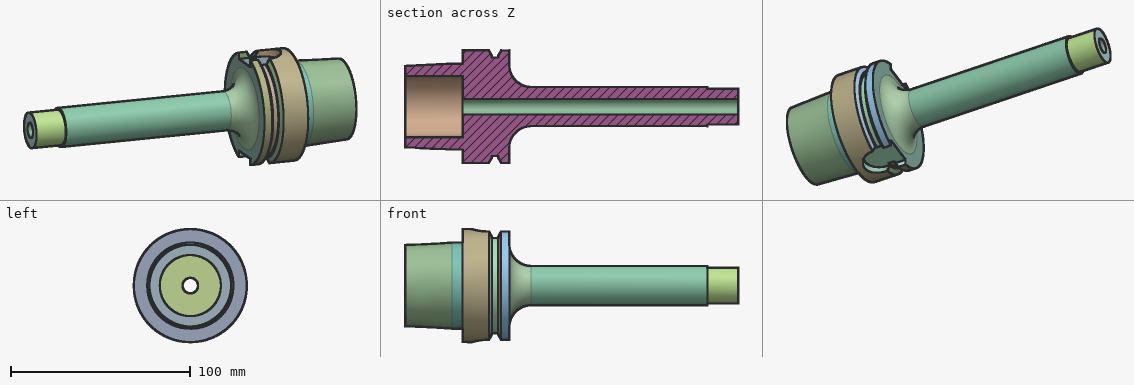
import cadquery as cq
import math

total_length = 185.3
taper_length = 26.0
flange_start = 32.0
flange_end = 58.0
tip_start = 168.0

taper_small_diameter = 45.4
taper_large_diameter = 48.0
flange_diameter = 63.0
shank_diameter = 22.0
tip_diameter = 20.0

blend_radius = 12.0

groove_centre = 50.0
groove_floor_diameter = 55.0
groove_floor_width = 3.4
groove_wall_angle = 30.0
groove_mouth_width = 6.8

slot_width = 18.0
slot_end = 37.0
slot_floor_height = 26.5

bore_diameter = 34.0
bore_depth = flange_start
coolant_diameter = 8.5


def body():
    """Revolve the outer profile around X."""
    shank_radius = shank_diameter / 2
    blend_end = flange_end + blend_radius
    blend_mid_offset = blend_radius * (1 - math.sqrt(0.5))
    profile = (
        cq.Workplane("XY")
        .lineTo(0, taper_small_diameter / 2)
        .lineTo(taper_length, taper_large_diameter / 2)
        .lineTo(flange_start, taper_large_diameter / 2)
        .lineTo(flange_start, flange_diameter / 2)
        .lineTo(flange_end, flange_diameter / 2)
        .lineTo(flange_end, shank_radius + blend_radius)
        .threePointArc(
            (flange_end + blend_mid_offset, shank_radius + blend_mid_offset),
            (blend_end, shank_radius),
        )
        .lineTo(tip_start, shank_radius)
        .lineTo(tip_start, tip_diameter / 2)
        .lineTo(total_length, tip_diameter / 2)
        .lineTo(total_length, 0)
        .close()
    )
    return profile.revolve(360, (0, 0, 0), (1, 0, 0))


def gripper_groove():
    """Ring with straight walls at the floor that flare out to the flange surface."""
    floor_radius = groove_floor_diameter / 2
    flange_radius = flange_diameter / 2
    half_floor = groove_floor_width / 2
    half_mouth = groove_mouth_width / 2
    flare_height = (half_mouth - half_floor) / math.tan(math.radians(groove_wall_angle))
    flare_radius = flange_radius - flare_height
    profile = (
        cq.Workplane("XY")
        .moveTo(groove_centre - half_floor, floor_radius)
        .lineTo(groove_centre + half_floor, floor_radius)
        .lineTo(groove_centre + half_floor, flare_radius)
        .lineTo(groove_centre + half_mouth, flange_radius)
        .lineTo(groove_centre - half_mouth, flange_radius)
        .lineTo(groove_centre - half_floor, flare_radius)
        .close()
    )
    return profile.revolve(360, (0, 0, 0), (1, 0, 0))


def drive_slot(side):
    """Round-ended slot with a flat floor, open at the shank face (side: +1 top, -1 bottom)."""
    half_width = slot_width / 2
    round_centre = slot_end + half_width
    slot_height = flange_diameter / 2 - slot_floor_height
    return (
        cq.Workplane("XY")
        .workplane(offset=side * slot_floor_height)
        .moveTo(flange_end, half_width)
        .lineTo(round_centre, half_width)
        .threePointArc((slot_end, 0), (round_centre, -half_width))
        .lineTo(flange_end, -half_width)
        .close()
        .extrude(side * slot_height)
    )


def axial_hole(diameter, depth):
    """Round hole along X from the open end of the taper."""
    return cq.Workplane("YZ").circle(diameter / 2).extrude(depth)


result = body().cut(gripper_groove())
for side in (1, -1):
    result = result.cut(drive_slot(side))
result = result.cut(axial_hole(bore_diameter, bore_depth))
result = result.cut(axial_hole(coolant_diameter, total_length))